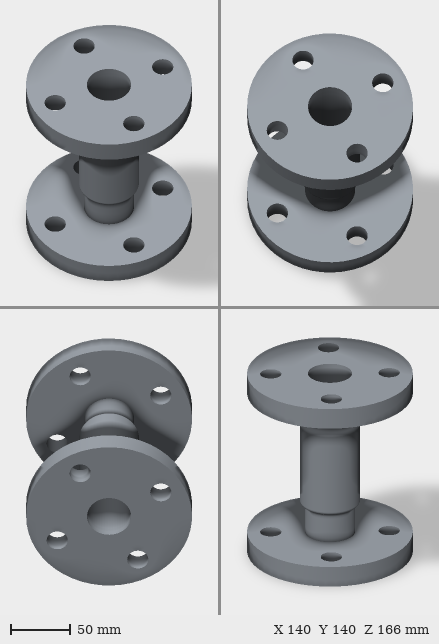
import cadquery as cq
import math

total_length = 166.0
mid_height = total_length / 2

flange_diameter = 140.0
flange_thickness = 18.3
bolt_circle_diameter = 100.0
bolt_hole_diameter = 18.0
bolt_hole_count = 4
first_bolt_angle = 45.0

pipe_outer_diameter = 42.5
bore_diameter = 37.2

sleeve_diameter = 50.8
shoulder_start = 42.2
shoulder_radius = 3.0

pipe_radius = pipe_outer_diameter / 2
sleeve_radius = sleeve_diameter / 2
shoulder_step = sleeve_radius - pipe_radius
turn_angle = math.acos(1 - shoulder_step / (2 * shoulder_radius))


def arc_offset(angle):
    """Radial and axial travel along a shoulder arc that starts parallel to the pipe axis."""
    return shoulder_radius * (1 - math.cos(angle)), shoulder_radius * math.sin(angle)


def make_flange(base_height):
    """Flat disc with a ring of bolt holes."""
    return (
        cq.Workplane("XY", origin=(0, 0, base_height))
        .circle(flange_diameter / 2)
        .extrude(flange_thickness)
        .faces(">Z")
        .workplane()
        .polarArray(bolt_circle_diameter / 2, first_bolt_angle, 360, bolt_hole_count)
        .hole(bolt_hole_diameter)
    )


def make_half_pipe():
    """Lower half of the pipe and sleeve, revolved about Z."""
    mid_radial, mid_axial = arc_offset(turn_angle / 2)
    full_radial, full_axial = arc_offset(turn_angle)
    shoulder_end = shoulder_start + 2 * full_axial
    return (
        cq.Workplane("XZ")
        .lineTo(pipe_radius, 0)
        .lineTo(pipe_radius, shoulder_start)
        .threePointArc(
            (pipe_radius + mid_radial, shoulder_start + mid_axial),
            (pipe_radius + full_radial, shoulder_start + full_axial),
        )
        .threePointArc(
            (sleeve_radius - mid_radial, shoulder_end - mid_axial),
            (sleeve_radius, shoulder_end),
        )
        .lineTo(sleeve_radius, mid_height)
        .lineTo(0, mid_height)
        .close()
        .revolve(360, (0, 0, 0), (0, 1, 0))
    )


def make_bore():
    """Straight passage through the whole part."""
    return cq.Workplane("XY").circle(bore_diameter / 2).extrude(total_length)


lower_half_pipe = make_half_pipe()
upper_half_pipe = lower_half_pipe.mirror("XY", (0, 0, mid_height))

result = (
    lower_half_pipe
    .union(upper_half_pipe)
    .union(make_flange(0))
    .union(make_flange(total_length - flange_thickness))
    .cut(make_bore())
    .clean()
)